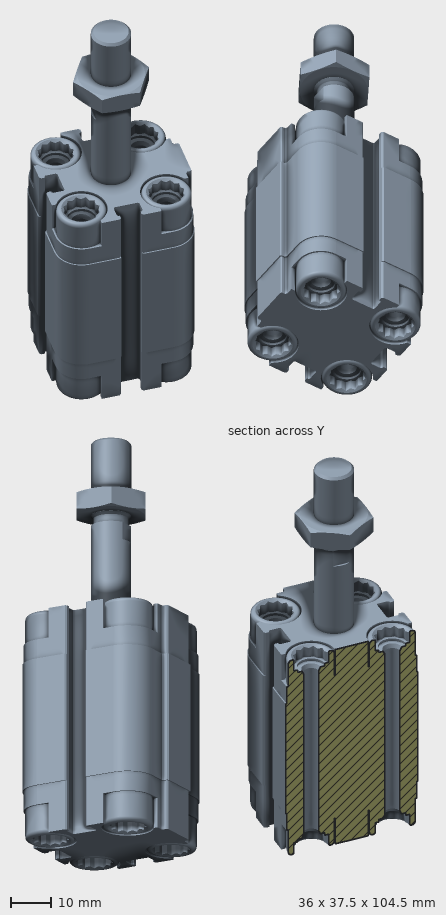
import cadquery as cq
import math

TOTAL_HEIGHT = 104.5
HOUSING_HEIGHT = 58.1
CAP_HEIGHT = 12.6

BARREL_HALF_WIDTH = 18.0
CAP_STEP = 0.3
CAP_HALF_WIDTH = BARREL_HALF_WIDTH - CAP_STEP
CORNER_CENTRE = 11.0
RAIL_TOP_Y = 19.5
BARREL_RAIL_HALF_WIDTH = 5.7
CAP_RAIL_HALF_WIDTH = BARREL_RAIL_HALF_WIDTH - CAP_STEP
RAIL_CHAMFER = 0.3
RAIL_FOOT_FLARE = 0.4

SLOT_WIDTH = 6.7
SLOT_MOUTH_WIDTH = 5.3
SLOT_FLOOR = 13.0
SLOT_LIP_INNER = 16.3
SLOT_MOUTH_FLARE = 0.4
SLOT_CORNER_CHAMFER = 0.3
SLOT_ANGLES = (0, -90, 90)

CORNER_ANGLES = (0, 90, 180, 270)
HEAD_DIAMETER = 12.5
HEAD_HEIGHT = 7.6
HEAD_FILLET = 1.0
POCKET_WALL = 7.7
POCKET_DIAMETER = 13.0
SOCKET_MOUTH_DIAMETER = 10.0
SOCKET_MOUTH_DEPTH = 0.6
SOCKET_ACROSS_FLATS = 8.0
SOCKET_ACROSS_CORNERS = SOCKET_ACROSS_FLATS / math.cos(math.radians(30))
SOCKET_INNER_DIAMETER = SOCKET_ACROSS_FLATS / math.cos(math.radians(15))
SOCKET_DEPTH = 3.3
RECESS_DIAMETER = 7.2
RECESS_DEPTH = 0.7
BORE_CONE_DIAMETER = 5.0
BORE_DIAMETER = 4.0
BORE_CONE_DEPTH = 1.0

ROD_DIAMETER = 10.0
ROD_TIP_CHAMFER = 0.6
NECK_DIAMETER = 8.7
NECK_BOTTOM_Z = TOTAL_HEIGHT - 21.7
NECK_TOP_Z = TOTAL_HEIGHT - 19.8
ROD_BOTTOM_Z = HOUSING_HEIGHT - CAP_HEIGHT
FLAT_ACROSS = 9.0
FLAT_HEIGHT = 4.5

NUT_ACROSS_FLATS = 17.0
NUT_ACROSS_CORNERS = NUT_ACROSS_FLATS / math.cos(math.radians(30))
NUT_HEIGHT = 5.1
NUT_TOP_Z = TOTAL_HEIGHT - 13.9
NUT_CHAMFER_DIAMETER = 16.8
NUT_CHAMFER_HEIGHT = 0.4


def at_height(z):
    return cq.Workplane("XY").workplane(offset=z)


def slot(half_width, height):
    """T-slot cutter for the -Y face, with a slightly flared mouth."""
    mouth = SLOT_MOUTH_WIDTH / 2
    chamber = SLOT_WIDTH / 2
    flare = mouth + SLOT_MOUTH_FLARE
    narrowed = chamber - SLOT_CORNER_CHAMFER
    right_side = [
        (narrowed, -SLOT_FLOOR),
        (chamber, -SLOT_FLOOR - SLOT_CORNER_CHAMFER),
        (chamber, -SLOT_LIP_INNER + SLOT_CORNER_CHAMFER),
        (narrowed, -SLOT_LIP_INNER),
        (mouth, -SLOT_LIP_INNER),
        (mouth, -half_width + SLOT_MOUTH_FLARE),
        (flare, -half_width),
    ]
    left_side = [(-x, y) for x, y in reversed(right_side)]
    return cq.Workplane("XY").polyline(right_side + left_side).close().extrude(height)


def rail(half_width, wall_y, top_y, height):
    """Rail on the +Y wall, with bevelled top corners and a flared foot."""
    right_side = [
        (half_width - RAIL_CHAMFER, top_y),
        (half_width, top_y - RAIL_CHAMFER),
        (half_width, wall_y + RAIL_FOOT_FLARE),
        (half_width + RAIL_FOOT_FLARE, wall_y),
        (half_width + RAIL_FOOT_FLARE, 0),
    ]
    left_side = [(-x, y) for x, y in reversed(right_side)]
    return cq.Workplane("XY").polyline(right_side + left_side).close().extrude(height)


def housing_section(half_width, rail_half_width, rail_top, height):
    """Rounded block with a rail on +Y and three T-slots."""
    block = (
        cq.Workplane("XY")
        .rect(2 * half_width, 2 * half_width)
        .extrude(height)
        .edges("|Z")
        .fillet(half_width - CORNER_CENTRE)
    )
    section = block.union(rail(rail_half_width, half_width, rail_top, height))
    cutter = slot(half_width, height)
    for angle in SLOT_ANGLES:
        section = section.cut(cutter.rotate((0, 0, 0), (0, 0, 1), angle))
    return section


def cone(z, lower_diameter, upper_diameter, height):
    return cq.Workplane(
        "XY", obj=cq.Solid.makeCone(lower_diameter / 2, upper_diameter / 2, height, cq.Vector(0, 0, z))
    )


def corner_pocket():
    """Cutter that clears the -X -Y corner of the top cap around its screw head."""
    floor_z = HOUSING_HEIGHT - HEAD_HEIGHT
    reach = 2 * CAP_HALF_WIDTH
    corner_box = cq.Workplane("XY").box(reach, reach, HEAD_HEIGHT, centered=False)
    corner_box = corner_box.translate((-POCKET_WALL - reach, -POCKET_WALL - reach, floor_z))
    round_seat = at_height(floor_z).center(-CORNER_CENTRE, -CORNER_CENTRE)
    return corner_box.union(round_seat.circle(POCKET_DIAMETER / 2).extrude(HEAD_HEIGHT))


def screw_head():
    """Rounded screw head with a twelve-point socket, ready for the -X -Y corner of the top cap."""
    floor_z = HOUSING_HEIGHT - HEAD_HEIGHT
    socket_floor = HOUSING_HEIGHT - SOCKET_DEPTH
    recess_floor = socket_floor - RECESS_DEPTH
    head = at_height(floor_z).circle(HEAD_DIAMETER / 2).extrude(HEAD_HEIGHT)
    head = head.faces(">Z").edges().fillet(HEAD_FILLET)
    mouth_floor = HOUSING_HEIGHT - SOCKET_MOUTH_DEPTH
    head = head.cut(cone(mouth_floor, SOCKET_INNER_DIAMETER, SOCKET_MOUTH_DIAMETER, SOCKET_MOUTH_DEPTH))
    hexagon = at_height(socket_floor).polygon(6, SOCKET_ACROSS_CORNERS).extrude(SOCKET_DEPTH)
    head = head.cut(hexagon).cut(hexagon.rotate((0, 0, 0), (0, 0, 1), 30))
    head = head.cut(at_height(recess_floor).circle(RECESS_DIAMETER / 2).extrude(RECESS_DEPTH))
    head = head.cut(cone(recess_floor - BORE_CONE_DEPTH, BORE_DIAMETER, BORE_CONE_DIAMETER, BORE_CONE_DEPTH))
    return head.translate((-CORNER_CENTRE, -CORNER_CENTRE, 0))


def mirrored_to_base(shape):
    """Copy of a top-cap shape reflected onto the bottom cap."""
    return shape.mirror("XY", (0, 0, HOUSING_HEIGHT / 2))


def build_housing():
    barrel_height = HOUSING_HEIGHT - 2 * CAP_HEIGHT
    cap_rail_top = RAIL_TOP_Y - CAP_STEP
    barrel = housing_section(BARREL_HALF_WIDTH, BARREL_RAIL_HALF_WIDTH, RAIL_TOP_Y, barrel_height)
    cap = housing_section(CAP_HALF_WIDTH, CAP_RAIL_HALF_WIDTH, cap_rail_top, CAP_HEIGHT)
    bottom_and_barrel = cap.union(barrel.translate((0, 0, CAP_HEIGHT)))
    housing = bottom_and_barrel.union(cap.translate((0, 0, HOUSING_HEIGHT - CAP_HEIGHT)))

    for angle in CORNER_ANGLES:
        pocket = corner_pocket().rotate((0, 0, 0), (0, 0, 1), angle)
        head = screw_head().rotate((0, 0, 0), (0, 0, 1), angle)
        housing = housing.cut(pocket).cut(mirrored_to_base(pocket))
        housing = housing.union(head).union(mirrored_to_base(head))

    spacing = 2 * CORNER_CENTRE
    bores = cq.Workplane("XY").rect(spacing, spacing, forConstruction=True).vertices()
    housing = housing.cut(bores.circle(BORE_DIAMETER / 2).extrude(HOUSING_HEIGHT))
    return housing.cut(at_height(ROD_BOTTOM_Z).circle(ROD_DIAMETER / 2).extrude(CAP_HEIGHT))


def build_rod():
    radius = ROD_DIAMETER / 2
    neck_radius = NECK_DIAMETER / 2
    half_profile = [
        (0, ROD_BOTTOM_Z),
        (radius, ROD_BOTTOM_Z),
        (radius, NECK_BOTTOM_Z),
        (neck_radius, NECK_BOTTOM_Z),
        (neck_radius, NECK_TOP_Z),
        (radius, NECK_TOP_Z + radius - neck_radius),
        (radius, TOTAL_HEIGHT - ROD_TIP_CHAMFER),
        (radius - ROD_TIP_CHAMFER, TOTAL_HEIGHT),
        (0, TOTAL_HEIGHT),
    ]
    rod = cq.Workplane("XZ").polyline(half_profile).close().revolve(360, (0, 0), (0, 1))
    for side in (1, -1):
        flat_cutter = (
            at_height(NECK_BOTTOM_Z - FLAT_HEIGHT)
            .center(0, side * (FLAT_ACROSS + ROD_DIAMETER) / 2)
            .rect(ROD_DIAMETER, ROD_DIAMETER)
            .extrude(FLAT_HEIGHT)
        )
        rod = rod.cut(flat_cutter)
    return rod


def build_nut():
    hexagon = (
        cq.Workplane("XY")
        .polygon(6, NUT_ACROSS_CORNERS)
        .extrude(NUT_HEIGHT)
        .rotate((0, 0, 0), (0, 0, 1), 30)
    )
    chamfer_radius = NUT_CHAMFER_DIAMETER / 2
    corner_radius = NUT_ACROSS_CORNERS / 2
    envelope_profile = [
        (0, 0),
        (chamfer_radius, 0),
        (corner_radius, NUT_CHAMFER_HEIGHT),
        (corner_radius, NUT_HEIGHT - NUT_CHAMFER_HEIGHT),
        (chamfer_radius, NUT_HEIGHT),
        (0, NUT_HEIGHT),
    ]
    envelope = cq.Workplane("XZ").polyline(envelope_profile).close().revolve(360, (0, 0), (0, 1))
    bore = cq.Workplane("XY").circle(ROD_DIAMETER / 2).extrude(NUT_HEIGHT)
    return hexagon.intersect(envelope).cut(bore).translate((0, 0, NUT_TOP_Z - NUT_HEIGHT))


housing = build_housing()
rod = build_rod()
nut = build_nut()

result = cq.Compound.makeCompound([housing.val(), rod.val(), nut.val()])